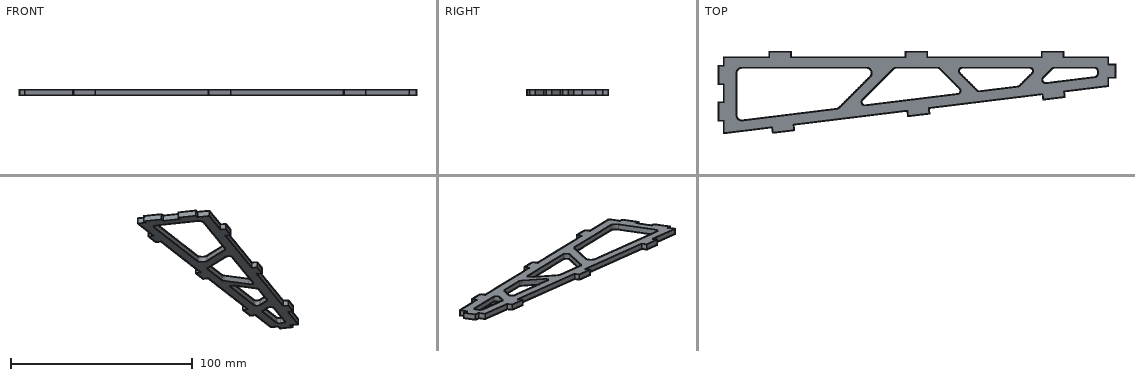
import cadquery as cq
import math

total_length = 218.5
thickness = 3.0
left_tab_depth = 2.8
right_tab_depth = 4.0
edge_tab_depth = 3.0
left_end = left_tab_depth
right_end = total_length - right_tab_depth
left_height = 42.0
taper_angle = 7.0
taper_slope = math.tan(math.radians(taper_angle))

edge_tab_width = 12.0
tab_pitch = 75.0
upper_tab_start = 28.0
lower_tab_start = 29.5
edge_tab_count = 3

left_tab_width = 10.3
left_tab_centers = (-9.8, -30.0)
right_tab_width = 7.5
right_tab_center = -7.6

rail_width = 6.0
left_rail_width = 7.2
strut_width = 6.1
strut_run = strut_width * math.sqrt(2)
first_strut_x = 88.3
second_strut_x = 121.3
third_strut_x = 175.5
large_corner_radius = 2.8
small_corner_radius = 1.7

window_top = -rail_width
window_left = left_end + left_rail_width
window_right = right_end - rail_width
rail_rise = rail_width / math.cos(math.radians(taper_angle))


def lower_edge_y(x):
    """Height of the tapered outer edge at x."""
    return -left_height + taper_slope * (x - left_end)


def lower_window_point(top_x, lean):
    """Foot of a window side that starts at top_x and moves lean in x per unit of descent."""
    drop = (window_top - lower_edge_y(top_x) - rail_rise) / (1 + lean * taper_slope)
    return (top_x + lean * drop, window_top - drop)


def prism(points):
    return cq.Workplane("XY").polyline(points).close().extrude(thickness)


def block(x_min, x_max, y_min, y_max):
    return prism([(x_min, y_min), (x_max, y_min), (x_max, y_max), (x_min, y_max)])


def window(left_x, left_lean, right_x, right_lean, radius):
    """Four-sided opening with rounded corners between the two long rails."""
    outline = [
        (left_x, window_top),
        (right_x, window_top),
        lower_window_point(right_x, right_lean),
        lower_window_point(left_x, left_lean),
    ]
    return prism(outline).edges("|Z").fillet(radius)


plate = prism([
    (left_end, 0),
    (right_end, 0),
    (right_end, lower_edge_y(right_end)),
    (left_end, lower_edge_y(left_end)),
])

for index in range(edge_tab_count):
    upper_x = upper_tab_start + index * tab_pitch
    plate = plate.union(block(upper_x, upper_x + edge_tab_width, -rail_width, edge_tab_depth))

    lower_x = lower_tab_start + index * tab_pitch * math.cos(math.radians(taper_angle))
    lower_tab = block(0, edge_tab_width, -edge_tab_depth, rail_width / 2)
    lower_tab = lower_tab.rotate((0, 0, 0), (0, 0, 1), taper_angle)
    plate = plate.union(lower_tab.translate((lower_x, lower_edge_y(lower_x), 0)))

for center in left_tab_centers:
    half_width = left_tab_width / 2
    plate = plate.union(block(0, window_left, center - half_width, center + half_width))

half_width = right_tab_width / 2
plate = plate.union(
    block(window_right, total_length, right_tab_center - half_width, right_tab_center + half_width)
)

plate = plate.cut(window(window_left, 0, first_strut_x, -1, large_corner_radius))
plate = plate.cut(
    window(first_strut_x + strut_run, -1, second_strut_x, 1, small_corner_radius)
)
plate = plate.cut(
    window(second_strut_x + strut_run, 1, third_strut_x, -1, small_corner_radius)
)
plate = plate.cut(
    window(third_strut_x + strut_run, -1, window_right, 0, small_corner_radius)
)

result = plate